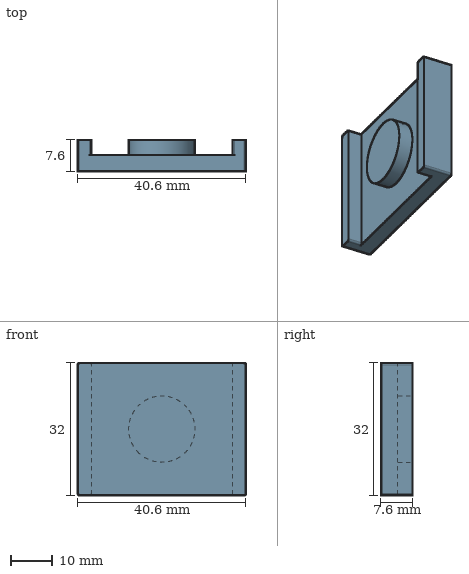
import cadquery as cq

width = 40.65
depth = 7.6
height = 32.0

plate_thickness = 4.0
rail_width = 3.3
corner_radius = 0.5
boss_diameter = 16.0

rib_height = depth - plate_thickness
front_y = -depth / 2
plate_back_y = front_y + plate_thickness


def rounded_block(block_width, length, start_y, center_x=0.0):
    """Upright block running toward +Y, with its four Y-direction edges rounded."""
    return (
        cq.Workplane("XY")
        .box(block_width, length, height, centered=(True, False, True))
        .edges("|Y")
        .fillet(corner_radius)
        .translate((center_x, start_y, 0))
    )


result = rounded_block(width, plate_thickness, front_y)

rail_center_x = (width - rail_width) / 2
for side in (-1, 1):
    result = result.union(rounded_block(rail_width, depth, front_y, side * rail_center_x))

boss = (
    cq.Workplane("XZ", origin=(0, plate_back_y, 0))
    .circle(boss_diameter / 2)
    .extrude(-rib_height)
)
result = result.union(boss)